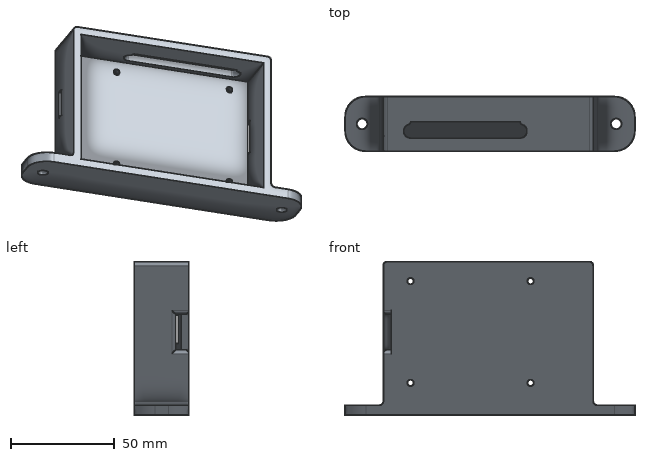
import cadquery as cq
import math

LENGTH = 140.0
DEPTH = 26.5
HEIGHT = 74.2
FRONT_Y = -DEPTH / 2

BODY_LEFT = -51.5
BODY_WIDTH = 101.4
BODY_RIGHT = BODY_LEFT + BODY_WIDTH
WALL = 3.8
EDGE_RADIUS = 2.0

FLANGE_THICKNESS = 4.9
FLANGE_CORNER_RADIUS = 10.0
FLANGE_HOLE_DIAMETER = 5.0
FLANGE_HOLE_SPACING = 122.6
FLANGE_HOLE_CENTER_X = -0.4

SCREW_HOLE_DIAMETER = 3.0
SCREW_SPACING_X = 58.0
SCREW_SPACING_Z = 49.1
SCREW_CENTER_X = -9.4
SCREW_CENTER_Z = 40.2

SLOT_CENTER_X = -11.9
SLOT_CENTER_Y = -3.5
SLOT_LENGTH = 59.5
SLOT_END_RADIUS = 3.4
SLOT_STEP_REACH = 4.6

NOTCH_DEPTH = 6.3
NOTCH_HEIGHT = 17.0
NOTCH_CENTER_Z = 40.2
NOTCH_EDGE_RADIUS = 2.1

PORT_FRONT_OFFSET = 5.2
PORT_WIDTH = 3.4
PORT_HEIGHT = 13.6
PORT_CENTER_Z = 41.5


def box(x_min, x_max, y_min, y_max, z_min, z_max):
    size = (x_max - x_min, y_max - y_min, z_max - z_min)
    return cq.Workplane("XY").box(*size, centered=False).translate((x_min, y_min, z_min))


def make_shell():
    """Rounded flange and box body, hollowed from the back."""
    flange = (
        cq.Workplane("XY")
        .box(LENGTH, DEPTH, FLANGE_THICKNESS, centered=(True, True, False))
        .edges("|Z")
        .fillet(FLANGE_CORNER_RADIUS)
    )
    body = box(BODY_LEFT, BODY_RIGHT, FRONT_Y, -FRONT_Y, 0, HEIGHT)
    body = body.edges("|Y and >Z").fillet(EDGE_RADIUS)
    solid = flange.union(body)
    for x in (BODY_LEFT, BODY_RIGHT):
        foot_edge = cq.selectors.NearestToPointSelector((x, 0, FLANGE_THICKNESS))
        solid = solid.edges(foot_edge).fillet(EDGE_RADIUS)
    cavity = box(BODY_LEFT + WALL, BODY_RIGHT - WALL, FRONT_Y + WALL, DEPTH, WALL, HEIGHT - WALL)
    return solid.cut(cavity)


def make_flange_holes():
    return (
        cq.Workplane("XY")
        .center(FLANGE_HOLE_CENTER_X, 0)
        .rarray(FLANGE_HOLE_SPACING, 1.4, 2, 1)
        .circle(FLANGE_HOLE_DIAMETER / 2)
        .extrude(FLANGE_THICKNESS)
    )


def make_screw_holes():
    return (
        cq.Workplane("XZ", origin=(SCREW_CENTER_X, FRONT_Y + WALL, SCREW_CENTER_Z))
        .rarray(SCREW_SPACING_X, SCREW_SPACING_Z, 2, 2)
        .circle(SCREW_HOLE_DIAMETER / 2)
        .extrude(WALL)
    )


def make_top_slot():
    """Each end arc runs tangentially into a reverse arc that ends square to the back edge."""
    end_x = SLOT_LENGTH / 2 - SLOT_END_RADIUS
    reverse_radius = (SLOT_STEP_REACH**2 - SLOT_END_RADIUS**2) / (2 * SLOT_END_RADIUS)
    angle = math.atan2(SLOT_STEP_REACH, reverse_radius)

    middle_angle = (angle - math.pi / 2) / 2
    end_middle = (
        end_x + SLOT_END_RADIUS * math.cos(middle_angle),
        SLOT_END_RADIUS * math.sin(middle_angle),
    )
    tangent = (
        end_x + SLOT_END_RADIUS * math.cos(angle),
        SLOT_END_RADIUS * math.sin(angle),
    )
    reverse_middle = (
        end_x + reverse_radius * (1 - math.cos(angle / 2)),
        SLOT_STEP_REACH - reverse_radius * math.sin(angle / 2),
    )

    def mirrored(point):
        return (-point[0], point[1])

    return (
        cq.Workplane("XY", origin=(SLOT_CENTER_X, SLOT_CENTER_Y, HEIGHT - WALL))
        .moveTo(-end_x, -SLOT_END_RADIUS)
        .lineTo(end_x, -SLOT_END_RADIUS)
        .threePointArc(end_middle, tangent)
        .threePointArc(reverse_middle, (end_x, SLOT_STEP_REACH))
        .lineTo(-end_x, SLOT_STEP_REACH)
        .threePointArc(mirrored(reverse_middle), mirrored(tangent))
        .threePointArc(mirrored(end_middle), (-end_x, -SLOT_END_RADIUS))
        .close()
        .extrude(WALL)
    )


def cut_notch(solid):
    """Corner notch with its outer edges on the left and front faces rounded over."""
    z_min = NOTCH_CENTER_Z - NOTCH_HEIGHT / 2
    z_max = NOTCH_CENTER_Z + NOTCH_HEIGHT / 2
    back_y = FRONT_Y + NOTCH_DEPTH
    inner_x = BODY_LEFT + WALL
    solid = solid.cut(box(BODY_LEFT, inner_x, FRONT_Y, back_y, z_min, z_max))

    edge_points = [(BODY_LEFT, back_y, NOTCH_CENTER_Z)]
    for z in (z_min, z_max):
        edge_points.append((BODY_LEFT, (FRONT_Y + back_y) / 2, z))
        edge_points.append(((BODY_LEFT + inner_x) / 2, FRONT_Y, z))
    outer_edges = [
        solid.edges(cq.selectors.NearestToPointSelector(point)).val() for point in edge_points
    ]
    return solid.newObject(outer_edges).fillet(NOTCH_EDGE_RADIUS)


def make_port():
    front_y = FRONT_Y + PORT_FRONT_OFFSET
    return box(
        BODY_RIGHT - WALL,
        BODY_RIGHT,
        front_y,
        front_y + PORT_WIDTH,
        PORT_CENTER_Z - PORT_HEIGHT / 2,
        PORT_CENTER_Z + PORT_HEIGHT / 2,
    )


result = cut_notch(make_shell())
for cutter in (make_flange_holes(), make_screw_holes(), make_top_slot(), make_port()):
    result = result.cut(cutter)